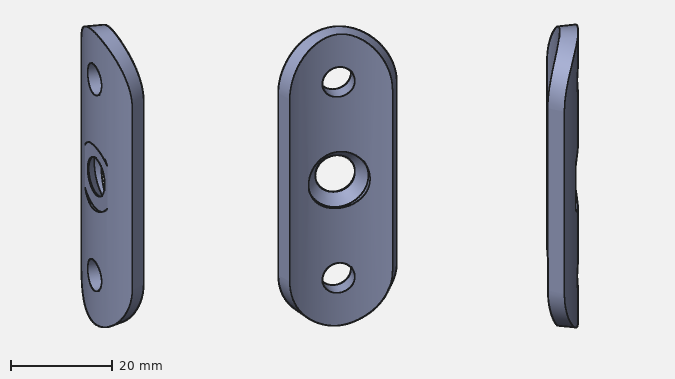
import cadquery as cq
import math

length = 64.0
width = 24.0
outer_radius = 27.0
thickness = 3.65
screw_hole_diameter = 6.5
screw_hole_spacing = 43.0
center_hole_diameter = 8.0
head_bore_diameter = 12.4
center_land = 0.25
spotface_diameter = 14.1
spotface_depth = 0.5

inner_radius = outer_radius - thickness
end_radius = width / 2
end_center_z = length / 2 - end_radius
section_clearance = 3.2


def half_width_at(axis_distance, turn):
    """X of the radial edge surface on a plane this far from the bend axis."""
    bend_angle = math.asin(end_radius / outer_radius) * math.cos(turn)
    return axis_distance * math.tan(bend_angle)


def rounded_end(axis_distance, side):
    """Curve around the upper (side=1) or lower (side=-1) plate end."""
    start = 0 if side > 0 else math.pi

    def point(fraction):
        turn = start + math.pi * fraction
        y = outer_radius - axis_distance
        z = side * end_center_z + end_radius * math.sin(turn)
        return cq.Vector(half_width_at(axis_distance, turn), y, z)

    samples = 24
    return cq.Edge.makeSpline([point(i / samples) for i in range(samples + 1)])


def outline_wire(axis_distance):
    upper = rounded_end(axis_distance, 1)
    lower = rounded_end(axis_distance, -1)
    left = cq.Edge.makeLine(upper.endPoint(), lower.startPoint())
    right = cq.Edge.makeLine(lower.endPoint(), upper.startPoint())
    return cq.Wire.assembleEdges([upper, left, lower, right])


def curved_plate():
    """Bent sheet trimmed to a stadium outline with radial edges."""
    tube = (
        cq.Workplane("XY", origin=(0, outer_radius, -length))
        .circle(outer_radius)
        .circle(inner_radius)
        .extrude(2 * length)
    )
    near_axis = outline_wire(inner_radius / 2)
    beyond_crest = outline_wire(outer_radius + section_clearance)
    trim = cq.Solid.makeLoft([near_axis, beyond_crest], True)
    return tube.intersect(cq.Workplane(obj=trim))


def cylinder_along_y(diameter, z, y_start, y_end):
    return (
        cq.Workplane("XZ", origin=(0, y_end, z))
        .circle(diameter / 2)
        .extrude(y_end - y_start)
    )


plate = curved_plate()

plate = plate.cut(cylinder_along_y(spotface_diameter, 0, -section_clearance, spotface_depth))

holes = (
    (center_hole_diameter, 0),
    (screw_hole_diameter, screw_hole_spacing / 2),
    (screw_hole_diameter, -screw_hole_spacing / 2),
)
for diameter, z in holes:
    plate = plate.cut(cylinder_along_y(diameter, z, -section_clearance, outer_radius / 2))

seat_start = spotface_depth + center_land
seat_end = seat_start + (head_bore_diameter - center_hole_diameter) / 2
seat_profile = (
    cq.Workplane("XY")
    .moveTo(0, seat_start)
    .lineTo(center_hole_diameter / 2, seat_start)
    .lineTo(head_bore_diameter / 2, seat_end)
    .lineTo(head_bore_diameter / 2, outer_radius / 2)
    .lineTo(0, outer_radius / 2)
    .close()
)
plate = plate.cut(seat_profile.revolve(360, (0, 0, 0), (0, 1, 0)))

result = plate